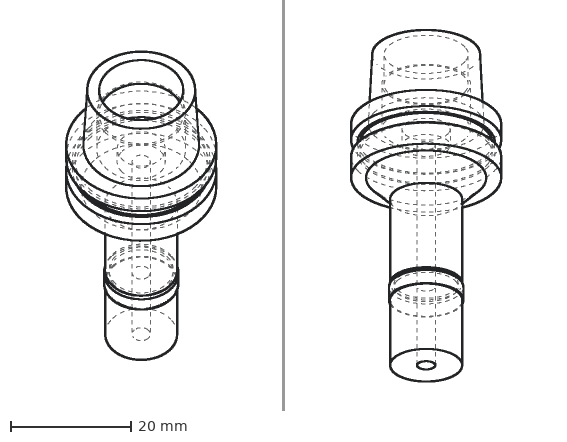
import cadquery as cq

TOTAL_HEIGHT = 58.0
TAPER_BASE_Z = 45.0
GROOVE_UPPER_RIM_Z = 42.0
GROOVE_UPPER_FACE_Z = 41.45
GROOVE_LOWER_FACE_Z = 39.55
GROOVE_LOWER_RIM_Z = 38.9
FLANGE_BOTTOM_Z = 35.0
CONE_BOTTOM_Z = 31.0
SHANK_BOTTOM_Z = 15.25
COLLAR_TOP_Z = 14.6
COLLAR_BOTTOM_Z = 12.2

FLANGE_DIAMETER = 25.0
GROOVE_CHAMFER_DIAMETER = 22.9
GROOVE_DIAMETER = 22.0
TAPER_TOP_DIAMETER = 18.0
TAPER_BASE_DIAMETER = 19.25
CONE_TOP_DIAMETER = 20.0
SHANK_DIAMETER = 12.0
NECK_DIAMETER = 10.7

COLLAR_DIAMETER = 12.4

SOCKET_DIAMETER = 14.0
SOCKET_LIP_DEPTH = 5.6
RELIEF_DIAMETER = 14.8
SOCKET_FLOOR_Z = 44.0
COUNTERBORE_DIAMETER = 8.0
COUNTERBORE_DEPTH = 3.0
THROUGH_HOLE_DIAMETER = 3.0


def revolve_profile(steps):
    """Solid of revolution about Z from (diameter, z) corners, closed along the axis."""
    corners = [(diameter / 2, z) for diameter, z in steps]
    outline = [(0, corners[0][1]), *corners, (0, corners[-1][1])]
    return cq.Workplane("XZ").polyline(outline).close().revolve(360, (0, 0), (0, 1))


def cylinder(diameter, bottom_z, top_z):
    """Cylinder on the Z axis between two levels."""
    return cq.Workplane("XY").workplane(offset=bottom_z).circle(diameter / 2).extrude(top_z - bottom_z)


def make_holder():
    """Taper, grooved flange, shank and neck, with the stepped bore."""
    holder = revolve_profile([
        (TAPER_TOP_DIAMETER, TOTAL_HEIGHT),
        (TAPER_BASE_DIAMETER, TAPER_BASE_Z),
        (FLANGE_DIAMETER, TAPER_BASE_Z),
        (FLANGE_DIAMETER, GROOVE_UPPER_RIM_Z),
        (GROOVE_CHAMFER_DIAMETER, GROOVE_UPPER_FACE_Z),
        (GROOVE_DIAMETER, GROOVE_UPPER_FACE_Z),
        (GROOVE_DIAMETER, GROOVE_LOWER_FACE_Z),
        (GROOVE_CHAMFER_DIAMETER, GROOVE_LOWER_FACE_Z),
        (FLANGE_DIAMETER, GROOVE_LOWER_RIM_Z),
        (FLANGE_DIAMETER, FLANGE_BOTTOM_Z),
        (CONE_TOP_DIAMETER, FLANGE_BOTTOM_Z),
        (SHANK_DIAMETER, CONE_BOTTOM_Z),
        (SHANK_DIAMETER, SHANK_BOTTOM_Z),
        (NECK_DIAMETER, SHANK_BOTTOM_Z),
        (NECK_DIAMETER, COLLAR_TOP_Z),
    ])
    lip_z = TOTAL_HEIGHT - SOCKET_LIP_DEPTH
    bore = (
        cylinder(SOCKET_DIAMETER, SOCKET_FLOOR_Z, TOTAL_HEIGHT)
        .union(cylinder(RELIEF_DIAMETER, SOCKET_FLOOR_Z, lip_z))
        .union(cylinder(COUNTERBORE_DIAMETER, SOCKET_FLOOR_Z - COUNTERBORE_DEPTH, SOCKET_FLOOR_Z))
        .union(cylinder(THROUGH_HOLE_DIAMETER, COLLAR_TOP_Z, SOCKET_FLOOR_Z))
    )
    return holder.cut(bore)


def make_nut():
    """Collared sleeve below the neck, with the through hole on its axis."""
    sleeve = cylinder(SHANK_DIAMETER, 0, COLLAR_TOP_Z)
    collar = cylinder(COLLAR_DIAMETER, COLLAR_BOTTOM_Z, COLLAR_TOP_Z)
    return sleeve.union(collar).cut(cylinder(THROUGH_HOLE_DIAMETER, 0, COLLAR_TOP_Z))


holder = make_holder()
nut = make_nut()
result = cq.Compound.makeCompound([holder.val(), nut.val()])